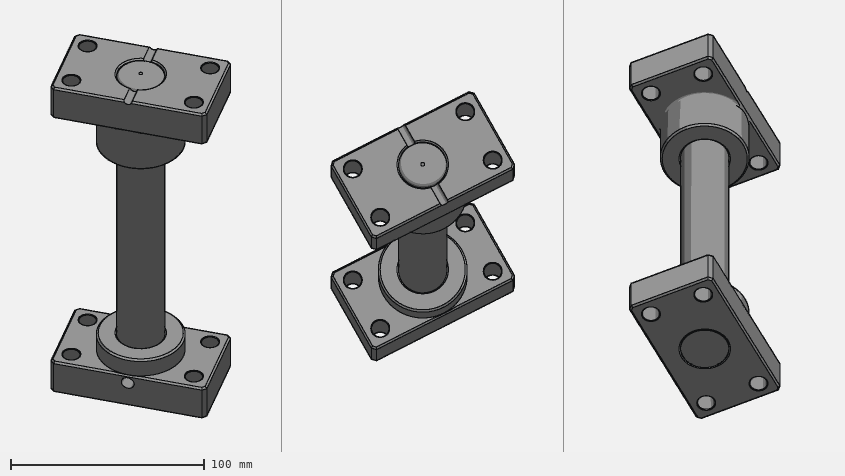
import cadquery as cq
import math

TOTAL_HEIGHT = 200.0
SHAFT_PROTRUSION = 0.5

PLATE_LENGTH = 84.0
PLATE_WIDTH = 48.0
PLATE_THICKNESS = 20.0
PLATE_CORNER_CHAMFER = 2.0
PLATE_EDGE_CHAMFER = 1.0
UPPER_PLATE_TOP = TOTAL_HEIGHT - SHAFT_PROTRUSION
UPPER_PLATE_BOTTOM = UPPER_PLATE_TOP - PLATE_THICKNESS

BOLT_DIAMETER = 9.0
BOLT_SPACING_X = 66.0
BOLT_SPACING_Y = 30.0
BOLT_HOLE_CHAMFER = 0.5

BOSS_DIAMETER = 46.0
BOSS_RADIUS = BOSS_DIAMETER / 2
BOSS_EDGE_CHAMFER = 1.0
LOWER_BOSS_HEIGHT = 10.0
UPPER_BOSS_HEIGHT = 25.0
UPPER_BOSS_ROOT_FILLET = 1.2
LOWER_BOSS_RELIEF_WIDTH = 1.5
LOWER_BOSS_RELIEF_DEPTH = 0.5
BORE_CHAMFER = 0.8

SHAFT_DIAMETER = 25.0
SHAFT_END_ROUND = 2.8
CENTER_MARK_DIAMETER = 2.0
CENTER_MARK_DEPTH = 0.8

GROOVE_RADIUS = 2.2
GROOVE_AXIS_RISE = 0.2
CROSS_HOLE_DIAMETER = 6.8
CROSS_HOLE_HEIGHT = 15.0


def make_plate(bottom):
    """Chamfered rectangular plate whose underside is at the given height."""
    return (
        cq.Workplane("XY", origin=(0, 0, bottom))
        .rect(PLATE_LENGTH, PLATE_WIDTH)
        .extrude(PLATE_THICKNESS)
        .edges("|Z")
        .chamfer(PLATE_CORNER_CHAMFER)
        .faces("<Z or >Z")
        .edges()
        .chamfer(PLATE_EDGE_CHAMFER)
    )


def revolve_profile(points):
    """Solid of revolution about Z from (radius, height) points."""
    return cq.Workplane("XZ").polyline(points).close().revolve(360, (0, 0), (0, 1))


def make_boss(root, direction, height):
    """Boss with a chamfered end, growing from its root height up (+1) or down (-1)."""
    end = root + direction * height
    return revolve_profile([
        (0, root),
        (BOSS_RADIUS, root),
        (BOSS_RADIUS, end - direction * BOSS_EDGE_CHAMFER),
        (BOSS_RADIUS - BOSS_EDGE_CHAMFER, end),
        (0, end),
    ])


def through_hole(diameter, chamfer, bottom, top):
    """Cutter for a round hole that is chamfered at both ends."""
    radius = diameter / 2
    return revolve_profile([
        (0, bottom),
        (radius + chamfer, bottom),
        (radius, bottom + chamfer),
        (radius, top - chamfer),
        (radius + chamfer, top),
        (0, top),
    ])


def cut_bolt_holes(body, plate_bottom):
    """Cut the four mounting holes through a plate."""
    plate_top = plate_bottom + PLATE_THICKNESS
    cutter = through_hole(BOLT_DIAMETER, BOLT_HOLE_CHAMFER, plate_bottom, plate_top)
    for side_x in (-1, 1):
        for side_y in (-1, 1):
            position = (side_x * BOLT_SPACING_X / 2, side_y * BOLT_SPACING_Y / 2, 0)
            body = body.cut(cutter.translate(position))
    return body


def make_lower_housing():
    """Lower plate with a short boss, a shallow relief around it and a cross hole to the shaft bore."""
    boss_top = PLATE_THICKNESS + LOWER_BOSS_HEIGHT
    relief_bottom = PLATE_THICKNESS - LOWER_BOSS_RELIEF_DEPTH
    relief = revolve_profile([
        (0, relief_bottom),
        (BOSS_RADIUS, relief_bottom),
        (BOSS_RADIUS + LOWER_BOSS_RELIEF_WIDTH, PLATE_THICKNESS),
        (0, PLATE_THICKNESS),
    ])
    boss = make_boss(relief_bottom, 1, boss_top - relief_bottom)
    body = make_plate(0).cut(relief).union(boss)
    body = cut_bolt_holes(body, 0)
    body = body.cut(through_hole(SHAFT_DIAMETER, BORE_CHAMFER, 0, boss_top))
    cross_hole = (
        cq.Workplane("XZ", origin=(0, 0, CROSS_HOLE_HEIGHT))
        .circle(CROSS_HOLE_DIAMETER / 2)
        .extrude(PLATE_WIDTH / 2)
    )
    return body.cut(cross_hole)


def make_upper_root_fillet():
    """Concave ring under the upper plate, fading out where the boss meets the plate's long edges."""
    inner_radius = BOSS_RADIUS - UPPER_BOSS_ROOT_FILLET
    outer_radius = BOSS_RADIUS + UPPER_BOSS_ROOT_FILLET
    ring_bottom = UPPER_PLATE_BOTTOM - UPPER_BOSS_ROOT_FILLET
    arc_offset = UPPER_BOSS_ROOT_FILLET * (1 - math.sqrt(0.5))
    ring = (
        cq.Workplane("XZ")
        .moveTo(inner_radius, UPPER_PLATE_BOTTOM)
        .lineTo(outer_radius, UPPER_PLATE_BOTTOM)
        .threePointArc(
            (BOSS_RADIUS + arc_offset, UPPER_PLATE_BOTTOM - arc_offset),
            (BOSS_RADIUS, ring_bottom),
        )
        .lineTo(inner_radius, ring_bottom)
        .close()
        .revolve(360, (0, 0), (0, 1))
    )
    limit = (
        cq.Workplane("XY", origin=(0, 0, UPPER_PLATE_BOTTOM))
        .rect(PLATE_LENGTH - 2 * PLATE_EDGE_CHAMFER, PLATE_WIDTH - 2 * PLATE_EDGE_CHAMFER)
        .extrude(-UPPER_BOSS_ROOT_FILLET, taper=45)
    )
    return ring.intersect(limit)


def make_upper_housing():
    """Upper plate with a long boss below it and a round-bottomed groove across its top."""
    boss_bottom = UPPER_PLATE_BOTTOM - UPPER_BOSS_HEIGHT
    body = make_plate(UPPER_PLATE_BOTTOM).union(make_boss(UPPER_PLATE_BOTTOM, -1, UPPER_BOSS_HEIGHT))
    body = body.union(make_upper_root_fillet())
    body = cut_bolt_holes(body, UPPER_PLATE_BOTTOM)
    body = body.cut(through_hole(SHAFT_DIAMETER, BORE_CHAMFER, boss_bottom, UPPER_PLATE_TOP))
    groove = (
        cq.Workplane("XZ", origin=(0, 0, UPPER_PLATE_TOP + GROOVE_AXIS_RISE))
        .circle(GROOVE_RADIUS)
        .extrude(PLATE_WIDTH / 2, both=True)
    )
    return body.cut(groove)


def make_shaft():
    """Full-height shaft with a rounded top end and a conical center mark."""
    center_mark = revolve_profile([
        (0, TOTAL_HEIGHT - CENTER_MARK_DEPTH),
        (CENTER_MARK_DIAMETER / 2, TOTAL_HEIGHT),
        (0, TOTAL_HEIGHT),
    ])
    return (
        cq.Workplane("XY")
        .circle(SHAFT_DIAMETER / 2)
        .extrude(TOTAL_HEIGHT)
        .faces(">Z")
        .edges()
        .fillet(SHAFT_END_ROUND)
        .cut(center_mark)
    )


lower_housing = make_lower_housing()
upper_housing = make_upper_housing()
shaft = make_shaft()

result = cq.Compound.makeCompound([lower_housing.val(), upper_housing.val(), shaft.val()])